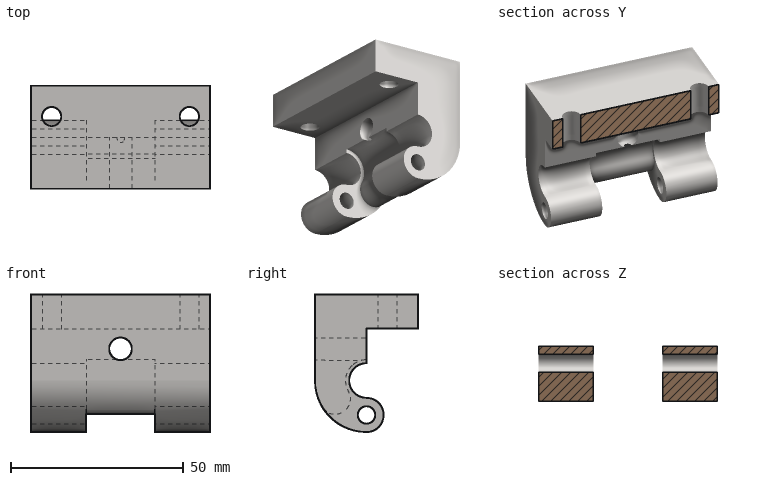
import cadquery as cq
import math

length = 52.0
depth = 30.0
wall = depth / 2
flange_reach = wall
flange_thickness = 10.0
throat_radius = wall / 3
pin_diameter = 5.0
top_height = 25.0

mount_hole_diameter = 5.5
mount_hole_spacing = 40.0
mount_hole_inset = 9.0
wall_hole_diameter = 6.5
wall_hole_depth = 15.8

notch_width = 20.0
tip_diameter = 9.0
tip_y = -9.25
tip_z = -5.25

knuckle_radius = throat_radius
pin_z = -throat_radius - knuckle_radius
bottom_z = -wall
flange_bottom_z = top_height - flange_thickness
tip_radius = tip_diameter / 2
tip_distance = math.hypot(tip_y, tip_z)
clearance_radius = tip_distance - tip_radius


def x_cylinder(radius, width, y, z):
    """Cylinder along X, centred on X = 0."""
    return cq.Workplane("YZ").center(y, z).circle(radius).extrude(width / 2, both=True)


def hook_body():
    """Flange, wall and hook with its pin knuckle, extruded along X."""
    return (
        cq.Workplane("YZ")
        .moveTo(-wall, top_height)
        .lineTo(flange_reach, top_height)
        .lineTo(flange_reach, flange_bottom_z)
        .lineTo(0, flange_bottom_z)
        .lineTo(0, throat_radius)
        .threePointArc((-throat_radius, 0), (0, -throat_radius))
        .threePointArc((knuckle_radius, pin_z), (0, bottom_z))
        .threePointArc((-wall * math.sqrt(0.5), -wall * math.sqrt(0.5)), (-wall, 0))
        .close()
        .extrude(length / 2, both=True)
    )


def knuckle_notch():
    """Central gap between the knuckles, leaving a rounded end on the hook."""
    reach = 2 * wall
    edge_y = reach * tip_y / tip_distance
    edge_z = reach * tip_z / tip_distance
    below_tip = (
        cq.Workplane("YZ")
        .polyline([(0, 0), (edge_y, edge_z), (edge_y, -reach), (reach, -reach), (reach, 0)])
        .close()
        .extrude(notch_width / 2, both=True)
    )
    tip = x_cylinder(tip_radius, notch_width, tip_y, tip_z)
    clearance = x_cylinder(clearance_radius, notch_width, 0, 0)
    return below_tip.cut(tip).union(clearance)


def mount_holes():
    """Two vertical holes through the flange."""
    return (
        cq.Workplane("XY", origin=(0, flange_reach - mount_hole_inset, flange_bottom_z))
        .pushPoints([(side * mount_hole_spacing / 2, 0) for side in (-1, 1)])
        .circle(mount_hole_diameter / 2)
        .extrude(flange_thickness)
    )


def wall_hole():
    """Horizontal hole through the middle of the wall."""
    return (
        cq.Workplane("XZ", origin=(0, 0, top_height - wall_hole_depth))
        .circle(wall_hole_diameter / 2)
        .extrude(wall)
    )


pin_hole = x_cylinder(pin_diameter / 2, length, 0, pin_z)
result = hook_body().cut(knuckle_notch()).cut(pin_hole).cut(mount_holes()).cut(wall_hole())